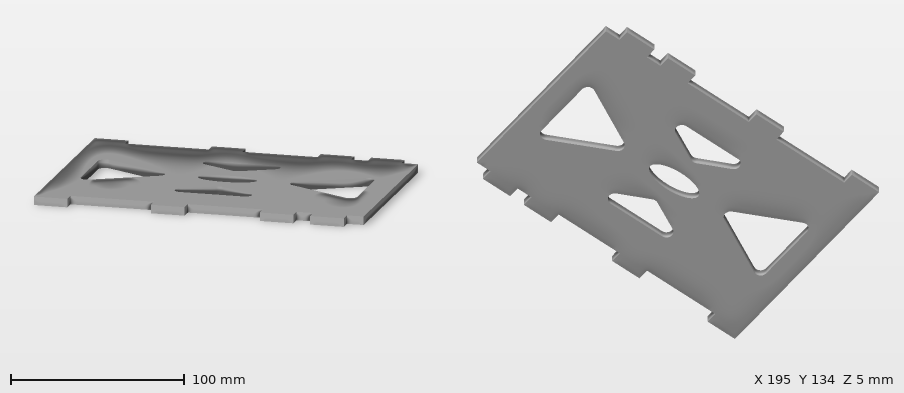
import cadquery as cq

length = 195.0
width_over_tabs = 134.0
thickness = 5.0
tab_depth = 7.0
body_width = width_over_tabs - 2 * tab_depth

tab_length = 20.0
tab_starts = [0.0, 70.0, 135.0, 165.0]

corner_radius = 4.0
window_half_span = 23.0
end_margin = 15.0
end_window_depth = 45.0
middle_window_outer_y = 35.3
middle_window_depth = 17.7

ellipse_half_length = 17.5
ellipse_half_width = 7.0


def edge_tab(start):
    """Bar across the full width that forms a tab on each long edge."""
    center_x = -length / 2 + start + tab_length / 2
    return cq.Workplane("XY").center(center_x, 0).rect(tab_length, width_over_tabs).extrude(thickness)


def rounded_triangle(base_distance, depth, direction):
    """Cutter whose base lies base_distance from the center and whose apex points inward.

    The direction is the angle, in degrees from +X, from the center to the base.
    """
    base_center = base_distance - corner_radius
    apex_center = base_distance - depth + corner_radius
    half_span = window_half_span - corner_radius
    corner_centers = [(base_center, -half_span), (base_center, half_span), (apex_center, 0)]
    return (
        cq.Workplane("XY")
        .polyline(corner_centers)
        .close()
        .offset2D(corner_radius, "arc")
        .extrude(thickness)
        .rotate((0, 0, 0), (0, 0, 1), direction)
    )


plate = cq.Workplane("XY").rect(length, body_width).extrude(thickness)
for tab_start in tab_starts:
    plate = plate.union(edge_tab(tab_start))

for direction in (0, 180):
    plate = plate.cut(rounded_triangle(length / 2 - end_margin, end_window_depth, direction))
for direction in (90, 270):
    plate = plate.cut(rounded_triangle(middle_window_outer_y, middle_window_depth, direction))

ellipse_window = cq.Workplane("XY").ellipse(ellipse_half_length, ellipse_half_width).extrude(thickness)
result = plate.cut(ellipse_window)